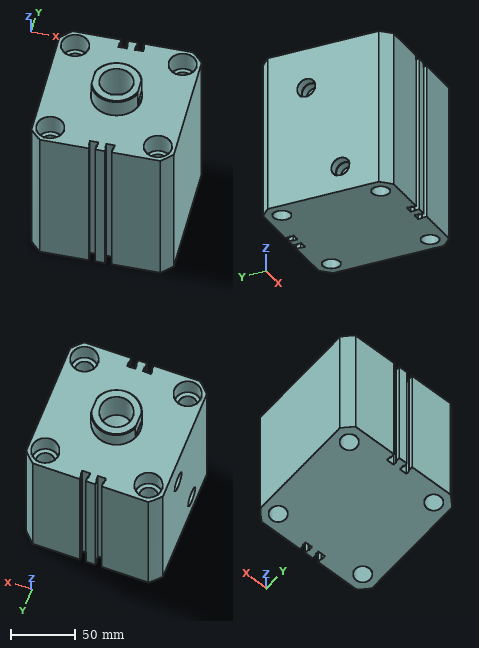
import cadquery as cq

total_height = 152.0
body_width = 114.0
rod_protrusion = 17.0
body_height = total_height - rod_protrusion
corner_radius = 74.6

mount_pitch = 86.0
mount_diameter = 14.9
counterbore_diameter = 22.0
counterbore_depth = 18.2

groove_offset = 6.5
groove_mouth_width = 5.3
groove_mouth_depth = 4.1
groove_floor_width = 6.5
groove_depth = 7.6

port_offset = 14.9
upper_port_drop = 35.0
lower_port_height = 22.0
port_diameter = 15.7
port_depth = 7.6
port_inner_diameter = 14.6
port_total_depth = 15.2

rod_diameter = 40.0
rod_length = 60.8
rod_chamfer_height = 1.0
rod_chamfer_width = 0.6
rod_hole_diameter = 26.8
rod_hole_depth = 30.4
rod_hole_cone_depth = 8.0
flat_distance = 18.5
flat_base_height = 3.0
rod_bottom = total_height - rod_length


def make_groove_cutter(x_center, side):
    """T-shaped groove through the full body height; side is -1 or +1 along Y."""
    face_y = side * body_width / 2

    def slot(width, depth):
        return (
            cq.Workplane("XY")
            .center(x_center, face_y)
            .rect(width, 2 * depth)
            .extrude(body_height)
        )

    floor = slot(groove_floor_width, groove_depth)
    lip = slot(groove_floor_width, groove_mouth_depth)
    return floor.cut(lip).union(slot(groove_mouth_width, groove_depth))


def make_port_cutter(y_center, z_center):
    """Blind round port entering from the -X face, with a narrow step inside."""
    face = cq.Workplane("YZ", origin=(-body_width / 2, y_center, z_center))
    mouth = face.circle(port_diameter / 2).extrude(port_depth)
    inner = face.circle(port_inner_diameter / 2).extrude(port_total_depth)
    return mouth.union(inner)


def make_body():
    """Square cylinder body with rounded-off corners and a blind bore for the rod."""
    body = cq.Workplane("XY").rect(body_width, body_width).extrude(body_height)
    body = body.intersect(cq.Workplane("XY").circle(corner_radius).extrude(body_height))

    body = (
        body.faces(">Z").workplane(origin=(0, 0, body_height))
        .rect(mount_pitch, mount_pitch, forConstruction=True)
        .vertices()
        .cboreHole(mount_diameter, counterbore_diameter, counterbore_depth)
    )

    for side in (-1, 1):
        for x_center in (-groove_offset, groove_offset):
            body = body.cut(make_groove_cutter(x_center, side))

    body = body.cut(make_port_cutter(port_offset, body_height - upper_port_drop))
    body = body.cut(make_port_cutter(-port_offset, lower_port_height))

    bore = (
        cq.Workplane("XY", origin=(0, 0, rod_bottom))
        .circle(rod_diameter / 2)
        .extrude(rod_length)
    )
    return body.cut(bore)


def make_flat_cutter():
    """Wedge that cuts the +X wrench flat and its 45-degree run-out."""
    flat_base = body_height + flat_base_height
    reach = rod_diameter / 2
    run_out = reach - flat_distance
    return (
        cq.Workplane("XZ")
        .polyline([
            (flat_distance, total_height),
            (flat_distance, flat_base),
            (reach, flat_base - run_out),
            (reach, total_height),
        ])
        .close()
        .extrude(reach, both=True)
    )


def make_rod():
    """Piston rod with a drilled end and two opposite wrench flats."""
    rod_radius = rod_diameter / 2
    hole_radius = rod_hole_diameter / 2
    hole_bottom = total_height - rod_hole_depth
    rod = (
        cq.Workplane("XZ")
        .polyline([
            (0, rod_bottom),
            (rod_radius, rod_bottom),
            (rod_radius, total_height - rod_chamfer_height),
            (rod_radius - rod_chamfer_width, total_height),
            (hole_radius, total_height),
            (hole_radius, hole_bottom),
            (0, hole_bottom - rod_hole_cone_depth),
        ])
        .close()
        .revolve(360, (0, 0, 0), (0, 1, 0))
    )
    flat_cutter = make_flat_cutter()
    return rod.cut(flat_cutter).cut(flat_cutter.mirror("YZ"))


body = make_body()
rod = make_rod()

result = cq.Compound.makeCompound([body.val(), rod.val()])